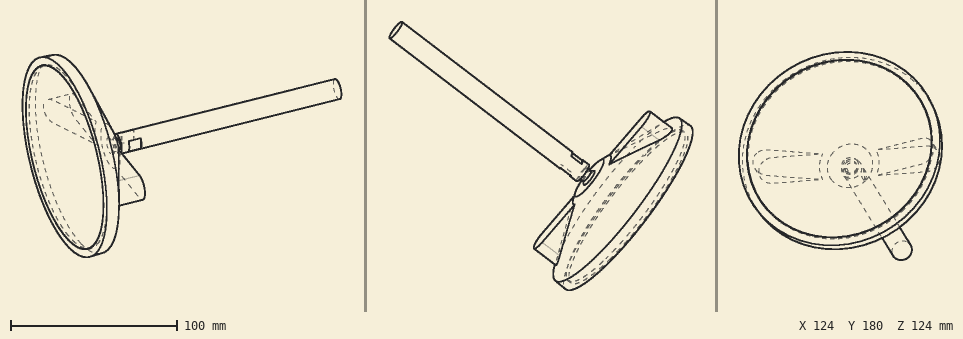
import cadquery as cq

TOTAL_LENGTH = 180.0

RIM_DIAMETER = 124.0
RIM_BACK_DIAMETER = 123.2
RIM_HEIGHT = 8.2
CONE_TOP_DIAMETER = 28.0
FOOT_HEIGHT = 30.0

GROOVE_OUTER_DIAMETER = 114.0
PAD_DIAMETER = 113.5
GROOVE_DEPTH = 2.0

BAR_CENTER_SPACING = 95.0
BAR_WIDTH = 16.5
BAR_TOP = 28.0

BALL_DIAMETER = 12.0
BALL_CENTER_Y = 27.2
NECK_DIAMETER = 7.8
STEM_START = 35.0
STEM_DIAMETER = 12.5

FLAT_START = 40.0
FLAT_LENGTH = 8.0
ACROSS_FLATS = 10.0


def cylinder_along_y(diameter, start, end):
    """Cylinder on the part axis between two Y positions."""
    return cq.Workplane("XZ", origin=(0, start, 0)).circle(diameter / 2).extrude(start - end)


def make_foot():
    """Slightly tapered rim carrying a truncated cone."""
    profile = [
        (0, 0),
        (RIM_DIAMETER / 2, 0),
        (RIM_BACK_DIAMETER / 2, RIM_HEIGHT),
        (CONE_TOP_DIAMETER / 2, FOOT_HEIGHT),
        (0, FOOT_HEIGHT),
    ]
    return cq.Workplane("XY").polyline(profile).close().revolve(360, (0, 0, 0), (0, 1, 0))


def make_bar():
    """Round-ended bar rising from inside the rim."""
    bar_length = BAR_CENTER_SPACING + BAR_WIDTH
    bar_base = RIM_HEIGHT
    return (
        cq.Workplane("XZ", origin=(0, bar_base, 0))
        .slot2D(bar_length, BAR_WIDTH)
        .extrude(bar_base - BAR_TOP)
    )


def make_groove():
    """Ring removed from the flat face to set off the pad."""
    outer = cylinder_along_y(GROOVE_OUTER_DIAMETER, 0, GROOVE_DEPTH)
    return outer.cut(cylinder_along_y(PAD_DIAMETER, 0, GROOVE_DEPTH))


def make_stem():
    """Ball, neck and rod with two opposite wrench flats."""
    ball = cq.Workplane("XY").sphere(BALL_DIAMETER / 2).translate((0, BALL_CENTER_Y, 0))
    neck = cylinder_along_y(NECK_DIAMETER, BALL_CENTER_Y, STEM_START)
    rod = cylinder_along_y(STEM_DIAMETER, STEM_START, TOTAL_LENGTH)
    for side in (-1, 1):
        cutter_center_x = side * (ACROSS_FLATS + STEM_DIAMETER) / 2
        cutter_center_y = FLAT_START + FLAT_LENGTH / 2
        cutter = cq.Workplane("XY").box(STEM_DIAMETER, FLAT_LENGTH, STEM_DIAMETER)
        rod = rod.cut(cutter.translate((cutter_center_x, cutter_center_y, 0)))
    return ball.union(neck).union(rod)


result = make_foot().union(make_bar()).cut(make_groove()).union(make_stem())